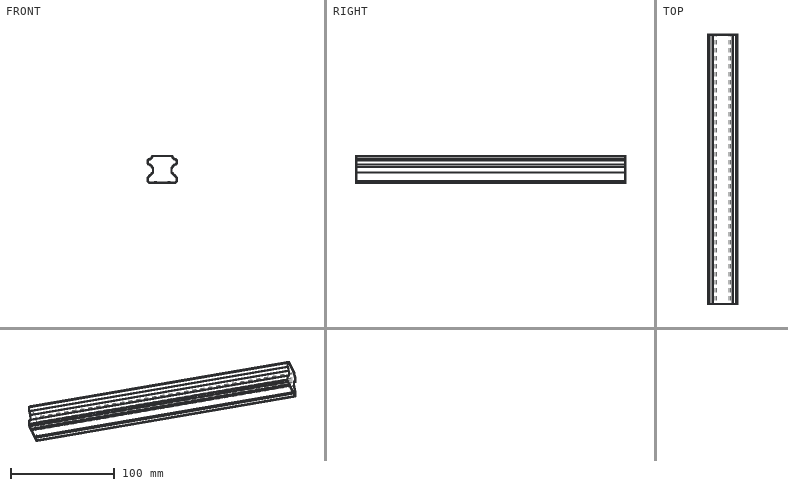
import cadquery as cq

length = 260.0
width = 28.0
height = 26.0

top_width = 18.5
track_inner_width = 19.8
shoulder_width = 25.7
upper_ledge = 0.8
head_center_z = 20.3
shoulder_gap = 5.2
side_top_z = 21.5
side_bottom_z = 18.7
lower_track_end_z = 15.0
track_sag = 0.5

neck_width = 18.0
neck_top_z = 14.0
neck_bottom_z = 10.1
foot_chamfer = 1.5
corner_radius = 1.0

groove_spacing = 13.3
groove_width = 1.3
groove_depth = 0.5

half_width = width / 2
neck_x = neck_width / 2
foot_top_z = neck_bottom_z - (width - neck_width) / 2


def sagged_midpoint(start, end, sag):
    """Middle of an arc from start to end, set off by sag to the right of the direction of travel."""
    run = end[0] - start[0]
    rise = end[1] - start[1]
    chord = (run**2 + rise**2) ** 0.5
    middle_x = (start[0] + end[0]) / 2
    middle_z = (start[1] + end[1]) / 2
    return (middle_x + sag * rise / chord, middle_z - sag * run / chord)


def half_rail():
    """The +X half of the rail, with sharp corners."""
    track_inner_x = track_inner_width / 2
    shoulder_x = shoulder_width / 2
    top_bevel = track_inner_x - top_width / 2

    upper_inner = (track_inner_x, height - top_bevel)
    upper_outer = (shoulder_x - upper_ledge, head_center_z + shoulder_gap / 2)
    lower_outer = (shoulder_x, head_center_z - shoulder_gap / 2)
    lower_inner = (track_inner_x, lower_track_end_z)

    return (
        cq.Workplane("XZ", origin=(0, length / 2, 0))
        .moveTo(0, height)
        .lineTo(top_width / 2, height)
        .lineTo(*upper_inner)
        .threePointArc(sagged_midpoint(upper_inner, upper_outer, track_sag), upper_outer)
        .lineTo(shoulder_x, upper_outer[1])
        .lineTo(half_width, side_top_z)
        .lineTo(half_width, side_bottom_z)
        .lineTo(*lower_outer)
        .threePointArc(sagged_midpoint(lower_outer, lower_inner, track_sag), lower_inner)
        .lineTo(neck_x, neck_top_z)
        .lineTo(neck_x, neck_bottom_z)
        .lineTo(half_width, foot_top_z)
        .lineTo(half_width, foot_chamfer)
        .lineTo(half_width - foot_chamfer, 0)
        .lineTo(0, 0)
        .close()
        .extrude(length)
    )


def round_corners(half):
    """Round the lower edge of the side land, the top of the neck and the top of the foot."""
    corners = [(half_width, side_bottom_z), (neck_x, neck_top_z), (half_width, foot_top_z)]
    for x, z in corners:
        corner_edge = cq.selectors.NearestToPointSelector((x, 0, z))
        half = half.edges("|Y").edges(corner_edge).fillet(corner_radius)
    return half


def underside_grooves():
    """Two grooves running the full length of the underside."""
    return (
        cq.Workplane("XY")
        .pushPoints([(-groove_spacing / 2, 0), (groove_spacing / 2, 0)])
        .rect(groove_width, length)
        .extrude(groove_depth)
    )


right_half = round_corners(half_rail())
rail = right_half.union(right_half.mirror("YZ")).clean()
result = rail.cut(underside_grooves())